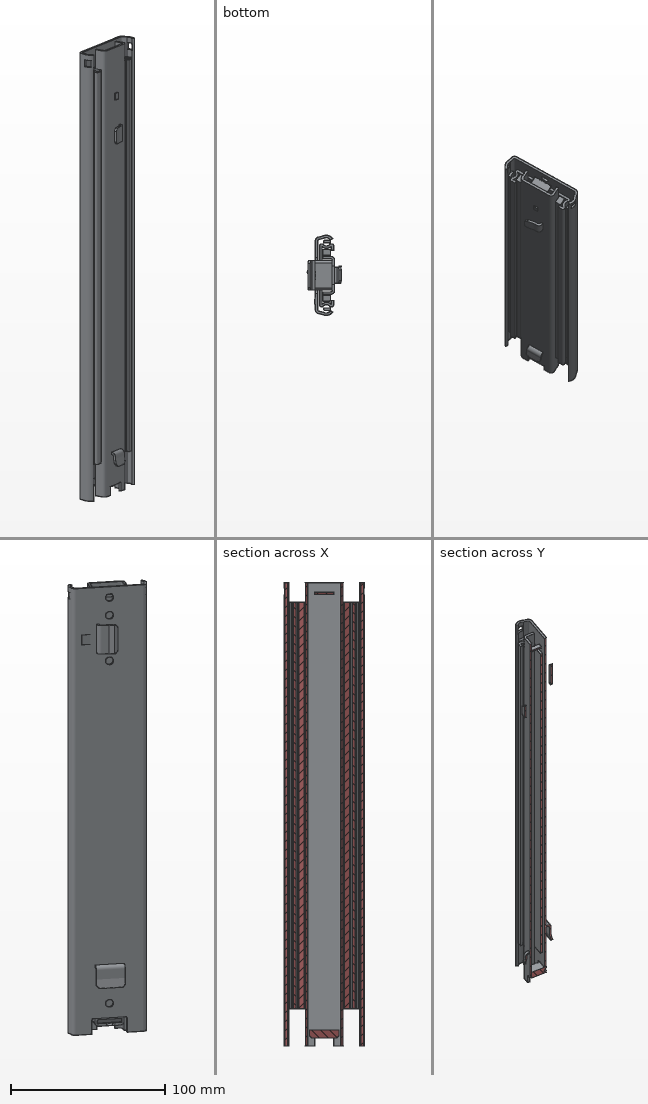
import cadquery as cq

LENGTH = 300.0
SHEET = 1.65

OUTER_BEND = 2.7
OUTER_FLANGE_Y = 25.0
RACE_START = (4.8, 25.5)
RACE_PEAK = (7.8, 25.95)
RACE_END = (11.5, 23.7)

SCREW_HOLE = 5.0
SCREW_HOLE_Z = (20.0, 250.2, 280.8, 292.8)
WINDOW_X = (5.5, 10.0)
WINDOW_Z = (292.0, 296.5)
NOTCH_HALF_WIDTH = 11.7
NOTCH_HEIGHT = 10.5
NOTCH_RADIUS = 1.2

STOP_Y = (13.0, 18.5)
STOP_Z = (262.2, 268.8)
STOP_RISE = 0.5

MIDDLE_X = (2.85, 12.0)
MIDDLE_HALF_WIDTH = 20.5
MIDDLE_BEND = 1.2
MIDDLE_LIP_Y = 16.2
MIDDLE_Z = (24.0, 287.5)
GROOVE_X = (4.8, 9.5)
GROOVE_DEPTH = 1.35

INNER_X = (4.8, 12.5)
INNER_HALF_WIDTH = 12.3
INNER_BEND = 2.5
TAB_HALF_WIDTH = 6.3
TAB_X = 3.75
TAB_Z = 292.2
SLOT_HALF_WIDTH = 6.0
SLOT_HEIGHT = 6.0
NUB_HALF_WIDTH = 1.5
NUB_Z = (265.0, 269.5)
NUB_RISE = 1.0

OUTER_CAGE_X = (5.5, 10.0)
OUTER_CAGE_Y = (21.0, 22.8)
INNER_CAGE_X = (4.8, 10.0)
INNER_CAGE_Y = (13.0, 16.8)
CAGE_CHAMFER = 0.5

BUMPER_HALF_WIDTH = 9.5
BUMPER_FOOT = 5.0
BUMPER_CORNER = 1.5
RAMP_HALF_WIDTH = 8.0
RAMP_Z = (7.0, 9.5)
RAMP_DEPTH = 1.8
DIMPLE_RADIUS = 2.0
DIMPLE_DEPTH = 1.2

HOOK_SHEET = 1.5
HOOK_BEND = 2.7
HOOK_LIP_RISE = 1.2
HOOK_CORNER = 1.8

OUTER_LOWER_ROOT_Z = 46.5
OUTER_LOWER_STAND = 3.5
OUTER_LOWER_LIP_START = 9.0
OUTER_LOWER_REACH = 14.7
OUTER_SIDE_ROOT_Y = 8.7
OUTER_SIDE_MIDDLE_Z = 265.8
OUTER_SIDE_STAND = 4.05
OUTER_SIDE_LIP_START = 7.5
OUTER_SIDE_REACH = 13.5
OUTER_SIDE_TIP = 2.7
OUTER_HOOK_WIDTH = 19.2

INNER_LOWER_ROOT_Z = 28.8
INNER_LOWER_LIP_START = 4.2
INNER_LOWER_REACH = 9.3
INNER_SIDE_ROOT_Y = 5.0
INNER_SIDE_MIDDLE_Z = 241.8
INNER_SIDE_LIP_START = 5.0
INNER_SIDE_REACH = 11.0
INNER_HOOK_STAND = 3.15
INNER_HOOK_WIDTH = 10.5


def block(x_range, y_range, z_range):
    """A box between the given limits."""
    corner = (x_range[0], y_range[0], z_range[0])
    size = [high - low for low, high in (x_range, y_range, z_range)]
    return cq.Workplane("XY").box(*size, centered=False).translate(corner)


def with_mirror(half):
    """A shape on the +Y side joined to its mirror image."""
    return half.union(half.mirror("XZ"))


def hook(root, outward, width_axis, width, stand, lip_start, reach, tip=0.0):
    """A hook of the given height (stand) over its sheet; the last stretch (tip) bends back in."""
    frame = cq.Plane(origin=root, xDir=outward, normal=width_axis)
    crest = stand + HOOK_LIP_RISE
    outer_lip = [(stand, lip_start), (crest, reach - tip)]
    if tip:
        outer_lip.append((stand, reach))
    inner_lip = [(height - HOOK_SHEET, along) for height, along in reversed(outer_lip)]
    profile = cq.Workplane(frame).lineTo(stand - HOOK_BEND, 0).radiusArc((stand, HOOK_BEND), -HOOK_BEND)
    for point in outer_lip + inner_lip:
        profile = profile.lineTo(*point)
    body = (
        profile.lineTo(stand - HOOK_SHEET, HOOK_BEND)
        .radiusArc((stand - HOOK_BEND, HOOK_SHEET), HOOK_BEND - HOOK_SHEET)
        .lineTo(0, HOOK_SHEET)
        .close()
        .extrude(width / 2, both=True)
    )
    lip_end = body.faces(cq.selectors.DirectionMinMaxSelector(frame.yDir))
    return lip_end.edges(cq.selectors.ParallelDirSelector(frame.xDir)).chamfer(HOOK_CORNER)


def outer_section():
    """The outer rail without holes, hooks or cut-outs."""
    inner_bend = OUTER_BEND - SHEET
    inner_peak = (RACE_PEAK[0], RACE_PEAK[1] - SHEET)
    inner_start = (RACE_START[0] + SHEET / 3, RACE_START[1] - SHEET)
    half = (
        cq.Workplane("XY")
        .lineTo(0, OUTER_FLANGE_Y - OUTER_BEND)
        .radiusArc((OUTER_BEND, OUTER_FLANGE_Y), OUTER_BEND)
        .lineTo(*RACE_START)
        .threePointArc(RACE_PEAK, RACE_END)
        .lineTo(RACE_END[0] - SHEET, RACE_END[1] - SHEET / 2)
        .threePointArc(inner_peak, inner_start)
        .lineTo(OUTER_BEND, OUTER_FLANGE_Y - SHEET)
        .radiusArc((SHEET, OUTER_FLANGE_Y - OUTER_BEND), -inner_bend)
        .lineTo(SHEET, 0)
        .close()
        .extrude(LENGTH)
    )
    return with_mirror(half)


def outer_rail():
    rail = outer_section()
    for z in SCREW_HOLE_Z:
        hole = cq.Workplane("YZ").center(0, z).circle(SCREW_HOLE / 2).extrude(SHEET)
        rail = rail.cut(hole)
    window = block(WINDOW_X, (OUTER_CAGE_Y[1], RACE_PEAK[1] + SHEET), WINDOW_Z)
    rail = rail.cut(window).cut(window.mirror("XZ"))
    notch = block((0, SHEET), (-NOTCH_HALF_WIDTH, NOTCH_HALF_WIDTH), (0, NOTCH_HEIGHT))
    rail = rail.cut(notch.edges("|X and >Z").fillet(NOTCH_RADIUS))
    stop = (
        cq.Workplane("XY", origin=(0, 0, STOP_Z[0]))
        .moveTo(0, STOP_Y[0])
        .lineTo(-STOP_RISE, STOP_Y[1])
        .lineTo(0, STOP_Y[1])
        .close()
        .extrude(STOP_Z[1] - STOP_Z[0])
    )
    lower_hook = hook(
        root=(0, 0, OUTER_LOWER_ROOT_Z),
        outward=(-1, 0, 0),
        width_axis=(0, -1, 0),
        width=OUTER_HOOK_WIDTH,
        stand=OUTER_LOWER_STAND,
        lip_start=OUTER_LOWER_LIP_START,
        reach=OUTER_LOWER_REACH,
    )
    side_hook = hook(
        root=(0, OUTER_SIDE_ROOT_Y, OUTER_SIDE_MIDDLE_Z),
        outward=(-1, 0, 0),
        width_axis=(0, 0, 1),
        width=OUTER_HOOK_WIDTH,
        stand=OUTER_SIDE_STAND,
        lip_start=OUTER_SIDE_LIP_START,
        reach=OUTER_SIDE_REACH,
        tip=OUTER_SIDE_TIP,
    )
    return rail.union(stop).union(lower_hook).union(side_hook)


def middle_rail():
    web_x, lip_x = MIDDLE_X
    inner_y = MIDDLE_HALF_WIDTH - SHEET
    groove_middle = sum(GROOVE_X) / 2
    half = (
        cq.Workplane("XY", origin=(0, 0, MIDDLE_Z[0]))
        .moveTo(web_x, 0)
        .lineTo(web_x, MIDDLE_HALF_WIDTH - MIDDLE_BEND)
        .radiusArc((web_x + MIDDLE_BEND, MIDDLE_HALF_WIDTH), MIDDLE_BEND)
        .lineTo(GROOVE_X[0], MIDDLE_HALF_WIDTH)
        .threePointArc((groove_middle, MIDDLE_HALF_WIDTH - GROOVE_DEPTH), (GROOVE_X[1], MIDDLE_HALF_WIDTH))
        .lineTo(lip_x - MIDDLE_BEND, MIDDLE_HALF_WIDTH)
        .radiusArc((lip_x, MIDDLE_HALF_WIDTH - MIDDLE_BEND), MIDDLE_BEND)
        .lineTo(lip_x, MIDDLE_LIP_Y)
        .lineTo(lip_x - SHEET, MIDDLE_LIP_Y)
        .lineTo(lip_x - SHEET, inner_y)
        .threePointArc((groove_middle, inner_y - GROOVE_DEPTH), (web_x + SHEET, inner_y))
        .lineTo(web_x + SHEET, 0)
        .close()
        .extrude(MIDDLE_Z[1] - MIDDLE_Z[0])
    )
    return with_mirror(half)


def inner_rail():
    edge_x, face_x = INNER_X
    y_range = (-INNER_HALF_WIDTH, INNER_HALF_WIDTH)
    shell = block(INNER_X, y_range, (0, LENGTH)).edges("|Z and >X").fillet(INNER_BEND)
    hollow_y = (-INNER_HALF_WIDTH + SHEET, INNER_HALF_WIDTH - SHEET)
    hollow = block((edge_x, face_x - SHEET), hollow_y, (0, LENGTH))
    hollow = hollow.edges("|Z and >X").fillet(INNER_BEND - SHEET)
    slot = block(INNER_X, (-SLOT_HALF_WIDTH, SLOT_HALF_WIDTH), (0, SLOT_HEIGHT))
    tab = block((TAB_X, face_x), (-TAB_HALF_WIDTH, TAB_HALF_WIDTH), (TAB_Z, TAB_Z + SHEET))
    nub = block((face_x, face_x + NUB_RISE), (-NUB_HALF_WIDTH, NUB_HALF_WIDTH), NUB_Z)
    lower_hook = hook(
        root=(face_x, 0, INNER_LOWER_ROOT_Z),
        outward=(1, 0, 0),
        width_axis=(0, 1, 0),
        width=INNER_HOOK_WIDTH,
        stand=INNER_HOOK_STAND,
        lip_start=INNER_LOWER_LIP_START,
        reach=INNER_LOWER_REACH,
    )
    side_hook = hook(
        root=(face_x, INNER_SIDE_ROOT_Y, INNER_SIDE_MIDDLE_Z),
        outward=(1, 0, 0),
        width_axis=(0, 0, -1),
        width=INNER_HOOK_WIDTH,
        stand=INNER_HOOK_STAND,
        lip_start=INNER_SIDE_LIP_START,
        reach=INNER_SIDE_REACH,
    )
    return shell.cut(hollow).cut(slot).union(tab).union(nub).union(lower_hook).union(side_hook)


def ball_cage(x_range, y_range, side):
    """A ball cage strip on the +Y side (side = 1) or the -Y side (side = -1)."""
    strip = block(x_range, y_range, MIDDLE_Z).edges("|Z and >Y").chamfer(CAGE_CHAMFER)
    return strip if side > 0 else strip.mirror("XZ")


def bumper():
    half_width = BUMPER_HALF_WIDTH
    body = block((0, INNER_X[1] - SHEET), (-half_width, half_width), (BUMPER_FOOT, NOTCH_HEIGHT))
    body = body.edges("|X and <Z").chamfer(BUMPER_CORNER)
    ramp = (
        cq.Workplane("XZ", origin=(0, RAMP_HALF_WIDTH, 0))
        .moveTo(0, RAMP_Z[1])
        .lineTo(RAMP_DEPTH, RAMP_Z[0])
        .lineTo(0, RAMP_Z[0])
        .close()
        .extrude(2 * RAMP_HALF_WIDTH)
    )
    dimple = (
        cq.Workplane("YZ")
        .center(0, RAMP_Z[0])
        .circle(DIMPLE_RADIUS)
        .workplane(offset=DIMPLE_DEPTH)
        .circle(DIMPLE_RADIUS / 3)
        .loft()
    )
    return body.cut(ramp).cut(dimple)


cages = []
for side in (-1, 1):
    cages.append(ball_cage(OUTER_CAGE_X, OUTER_CAGE_Y, side).val())
    cages.append(ball_cage(INNER_CAGE_X, INNER_CAGE_Y, side).val())

result = cq.Compound.makeCompound(
    [outer_rail().val(), middle_rail().val(), inner_rail().val(), *cages, bumper().val()]
)